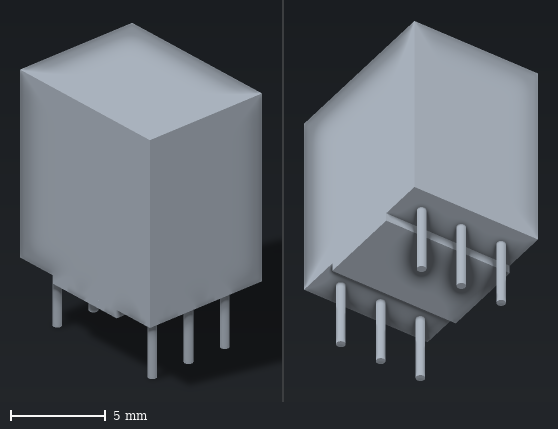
import cadquery as cq

total_height = 15.29
housing_width = 10.41
housing_depth = 7.87

bar_width = 5.09
bar_thickness = 0.5

pin_diameter = 0.5
pin_length = 4.0
pin_row_spacing = 7.61
pin_pitch = 2.54
pins_per_row = 3

housing_height = total_height - pin_length


def make_housing():
    """Plain rectangular case."""
    return cq.Workplane("XY").box(
        housing_width, housing_depth, housing_height, centered=(True, True, False)
    )


def make_base_bar():
    """Flat bar against the underside, flush with the housing front and back."""
    return (
        cq.Workplane("XY")
        .rect(bar_width, housing_depth)
        .extrude(-bar_thickness)
    )


def make_pin(x, y):
    """Round pin hanging from the underside of the housing."""
    return cq.Workplane("XY").center(x, y).circle(pin_diameter / 2).extrude(-pin_length)


housing = make_housing()
base_bar = make_base_bar()
pins = []
for row_x in (-pin_row_spacing / 2, pin_row_spacing / 2):
    for index in range(pins_per_row):
        pin_y = (index - (pins_per_row - 1) / 2) * pin_pitch
        pins.append(make_pin(row_x, pin_y).val())

result = cq.Compound.makeCompound([housing.val(), base_bar.val(), *pins])